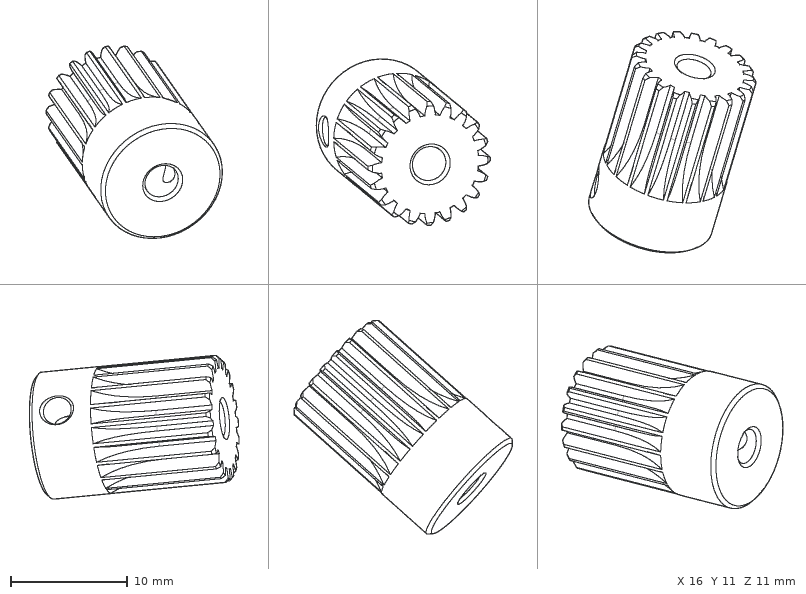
import cadquery as cq
import math

length = 16.0
edge_chamfer = 0.32

bore_diameter = 3.0
bore_chamfer = 0.3

tooth_count = 20
pitch_diameter = 10.0
module = pitch_diameter / tooth_count
pitch_radius = pitch_diameter / 2
dedendum_factor = 1.25
outer_radius = pitch_radius + module
root_radius = pitch_radius - dedendum_factor * module
tip_half_thickness = 0.16
pitch_half_thickness = 0.37
root_half_thickness = 0.48

full_depth_length = 5.0
cutter_radius = 14.0

set_screw_diameter = 2.46
set_screw_mouth_diameter = 3.0
set_screw_x = 13.5

clearance = 0.32
pitch_angle = 2 * math.pi / tooth_count


def flank_point(radius, half_thickness, side):
    """Point on a flank of the gap centred on +Z; side is -1 or +1."""
    angle = side * (pitch_angle / 2 - math.asin(half_thickness / radius))
    return (radius * math.sin(angle), radius * math.cos(angle))


def make_blank():
    """Solid cylinder with both rims chamfered."""
    blank = cq.Workplane("YZ").circle(outer_radius).extrude(length)
    return blank.faces("<X or >X").edges().chamfer(edge_chamfer)


def make_gap_prism():
    """Prism with the cross-section of one tooth gap, centred on +Z."""
    clear_radius = outer_radius + clearance
    outside = clear_radius / outer_radius
    left_tip = flank_point(outer_radius, tip_half_thickness, -1)
    right_tip = flank_point(outer_radius, tip_half_thickness, 1)
    return (
        cq.Workplane("YZ", origin=(-clearance, 0, 0))
        .moveTo(left_tip[0] * outside, left_tip[1] * outside)
        .lineTo(*left_tip)
        .threePointArc(
            flank_point(pitch_radius, pitch_half_thickness, -1),
            flank_point(root_radius, root_half_thickness, -1),
        )
        .threePointArc(
            (0, root_radius),
            flank_point(root_radius, root_half_thickness, 1),
        )
        .threePointArc(flank_point(pitch_radius, pitch_half_thickness, 1), right_tip)
        .lineTo(right_tip[0] * outside, right_tip[1] * outside)
        .close()
        .extrude(length)
    )


def make_cutter_envelope():
    """Ring swept by the cutter: flat at the root, then curving out past the rim."""
    start_x = -2 * clearance
    clear_radius = outer_radius + 2 * clearance
    end_angle = math.acos(1 - (clear_radius - root_radius) / cutter_radius)

    def runout_point(angle):
        x = full_depth_length + cutter_radius * math.sin(angle)
        radius = root_radius + cutter_radius * (1 - math.cos(angle))
        return (x, radius)

    return (
        cq.Workplane("XZ")
        .moveTo(start_x, root_radius)
        .lineTo(full_depth_length, root_radius)
        .threePointArc(runout_point(end_angle / 2), runout_point(end_angle))
        .lineTo(start_x, clear_radius)
        .close()
        .revolve(360, (0, 0, 0), (1, 0, 0))
    )


def cut_tooth_gaps(body):
    """Cut the gaps so that teeth stand on +Z, -Z, +Y and -Y."""
    gap = make_gap_prism().intersect(make_cutter_envelope())
    step = 360 / tooth_count
    first_gap = step / 2
    for index in range(tooth_count):
        body = body.cut(gap.rotate((0, 0, 0), (1, 0, 0), first_gap + index * step))
    return body


def cut_bore(body):
    """Through bore, chamfered at both ends."""
    bore_radius = bore_diameter / 2
    mouth_radius = bore_radius + bore_chamfer
    bore = (
        cq.Workplane("XZ")
        .polyline([
            (0, 0),
            (0, mouth_radius),
            (bore_chamfer, bore_radius),
            (length - bore_chamfer, bore_radius),
            (length, mouth_radius),
            (length, 0),
        ])
        .close()
        .revolve(360, (0, 0, 0), (1, 0, 0))
    )
    return body.cut(bore)


def cut_set_screw_hole(body):
    """Radial hole through the +Y wall into the bore, with a 45 degree mouth at the outer surface."""
    hole_radius = set_screw_diameter / 2
    mouth_radius = set_screw_mouth_diameter / 2
    mouth_depth = mouth_radius - hole_radius
    hole = (
        cq.Workplane("XY", origin=(set_screw_x, 0, 0))
        .polyline([
            (0, 0),
            (hole_radius, 0),
            (hole_radius, outer_radius - mouth_depth),
            (mouth_radius, outer_radius),
            (mouth_radius, outer_radius + clearance),
            (0, outer_radius + clearance),
        ])
        .close()
        .revolve(360, (0, 0, 0), (0, 1, 0))
    )
    return body.cut(hole)


result = cut_set_screw_hole(cut_bore(cut_tooth_gaps(make_blank())))